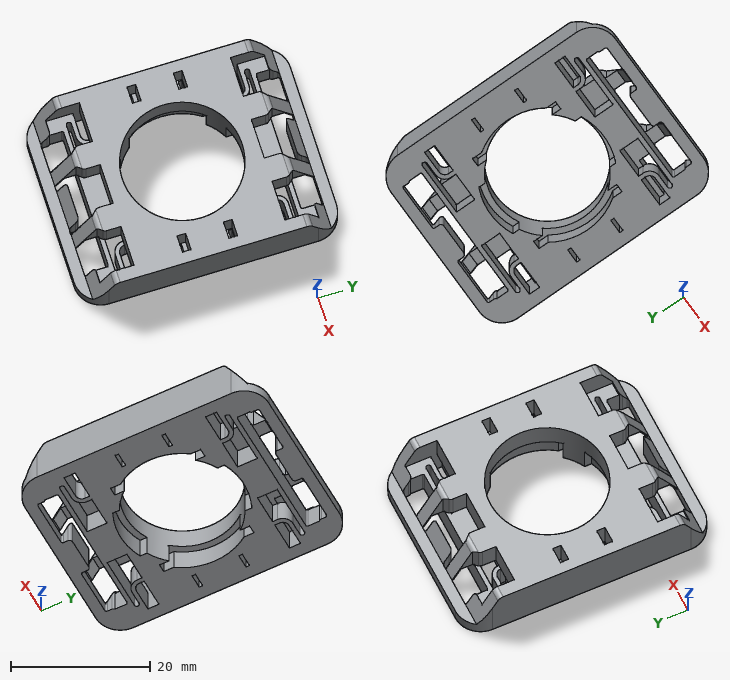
import cadquery as cq
import math

LENGTH = 39.5
WIDTH = 29.8
HEIGHT = 7.8
CORNER_RADIUS = 4.0
RAIL_HEIGHT = 1.98
RAIL_WIDTH = 1.78
SLOPE_ANGLE = math.radians(30)
CREST_RADIUS = 1.0

BORE_DIAMETER = 18.0
COUNTERBORE_DIAMETER = 20.0
COUNTERBORE_HEIGHT = 3.9
KEY_INNER_X = 4.23
KEY_OUTER_X = 6.9
NOTCH_OUTER_X = 8.2
NOTCH_END_Y = 7.3

POCKET_HALF_WIDTH = 12.95
POCKET_START_Y = 11.38
FLOOR_HEIGHT = 4.03

RIB_X = 4.95
RIB_HALF_WIDTH = 1.05
RIB_BASE_HALF_WIDTH = 1.85
RIB_SHOULDER_Y = 13.82
RIB_NECK_Y = 14.75
RIB_SHOULDER_RADIUS = 0.8
RIB_FOOT_THICKNESS = 0.25

WINDOW_HALF_WIDTH = 10.8
WINDOW_START_Y = 14.5
WINDOW_CORNER_RADIUS = 0.25
LIP_START_Y = 16.47
LIP_INNER_X = 10.6
TAB_HALF_WIDTH = 2.95
LIP_CORNER_RADIUS = 0.5
LIP_FOOT_RADIUS = 0.28

ARM_HOLE_START_Y = 10.6
ARM_HOLE_END_Y = 13.8
ARM_SLOT_WIDTH = 0.75
ARM_SLOT_END_X = 11.85
ARM_THICKNESS = 0.67
ARM_BEND_X = 9.4
ARM_BEND_RADIUS = 1.0

SLOT_X = 11.9
SLOT_LENGTH = 2.55
SLOT_START_Y = 2.85
SLOT_END_Y = 4.15
SLOT_THROUGH_LENGTH = 2.2
SLOT_THROUGH_START_Y = 3.5
SLOT_THROUGH_END_Y = 4.05

HALF_LENGTH = LENGTH / 2
RAIL_START_Y = HALF_LENGTH - RAIL_WIDTH


def block(x0, x1, y0, y1, z0, z1):
    """Box between two opposite corners."""
    return cq.Workplane("XY").box(x1 - x0, y1 - y0, z1 - z0, centered=False).translate((x0, y0, z0))


def both_x(shape):
    """The shape together with its mirror image across the YZ plane."""
    return shape.union(shape.mirror("YZ"))


def both_y(shape):
    """The shape together with its mirror image across the XZ plane."""
    return shape.union(shape.mirror("XZ"))


def slope_profile(setback):
    """Side profile, moved in along Y from the sloped end faces by the setback."""
    foot_y = RAIL_START_Y - setback
    crest_y = foot_y - (HEIGHT - RAIL_HEIGHT) * math.tan(SLOPE_ANGLE)
    return (
        cq.Workplane("YZ")
        .polyline([
            (-HALF_LENGTH, 0),
            (HALF_LENGTH, 0),
            (HALF_LENGTH, RAIL_HEIGHT),
            (foot_y, RAIL_HEIGHT),
            (crest_y, HEIGHT),
            (-crest_y, HEIGHT),
            (-foot_y, RAIL_HEIGHT),
            (-HALF_LENGTH, RAIL_HEIGHT),
        ])
        .close()
        .extrude(WIDTH / 2, both=True)
    )


def make_body():
    """Rounded plate with a low rail and a sloped face at each end."""
    plan = cq.Workplane("XY").rect(WIDTH, LENGTH).extrude(HEIGHT).edges("|Z").fillet(CORNER_RADIUS)
    wedge = slope_profile(0).edges("|X and >Z").fillet(CREST_RADIUS)
    return plan.intersect(wedge)


def make_bore():
    """Bore with a wider lower part, interrupted by four keys and their notches."""
    bore = cq.Workplane("XY").circle(BORE_DIAMETER / 2).extrude(HEIGHT)
    counterbore = cq.Workplane("XY").circle(COUNTERBORE_DIAMETER / 2).extrude(COUNTERBORE_HEIGHT)
    key = block(KEY_INNER_X, KEY_OUTER_X, 0, COUNTERBORE_DIAMETER / 2, 0, COUNTERBORE_HEIGHT)
    notch = block(KEY_OUTER_X, NOTCH_OUTER_X, 0, NOTCH_END_Y, 0, COUNTERBORE_HEIGHT)
    return counterbore.cut(both_y(both_x(key))).union(both_y(both_x(notch))).union(bore)


def make_slot():
    """Slot with a ledge at floor height and a smaller through opening below it."""
    opening_half = SLOT_LENGTH / 2
    through_half = SLOT_THROUGH_LENGTH / 2
    opening = block(
        SLOT_X - opening_half, SLOT_X + opening_half, SLOT_START_Y, SLOT_END_Y, FLOOR_HEIGHT, HEIGHT
    )
    through = block(
        SLOT_X - through_half, SLOT_X + through_half, SLOT_THROUGH_START_Y, SLOT_THROUGH_END_Y, 0, HEIGHT
    )
    return opening.union(through)


def make_rib():
    """Rib with a wide base at the pocket wall and a narrow neck over the window."""
    outline = [
        (RIB_X - RIB_BASE_HALF_WIDTH, POCKET_START_Y),
        (RIB_X - RIB_BASE_HALF_WIDTH, RIB_SHOULDER_Y),
        (RIB_X - RIB_HALF_WIDTH, RIB_NECK_Y),
        (RIB_X - RIB_HALF_WIDTH, RAIL_START_Y),
        (RIB_X + RIB_HALF_WIDTH, RAIL_START_Y),
        (RIB_X + RIB_HALF_WIDTH, RIB_NECK_Y),
        (RIB_X + RIB_BASE_HALF_WIDTH, RIB_SHOULDER_Y),
        (RIB_X + RIB_BASE_HALF_WIDTH, POCKET_START_Y),
    ]
    shoulders = cq.selectors.BoxSelector(
        (0, RIB_SHOULDER_Y - RIB_SHOULDER_RADIUS, 0), (WIDTH, RIB_SHOULDER_Y + RIB_SHOULDER_RADIUS, HEIGHT)
    )
    rib = cq.Workplane("XY").polyline(outline).close().extrude(HEIGHT)
    rib = rib.edges("|Z").edges(shoulders).fillet(RIB_SHOULDER_RADIUS)
    relief = block(0, WIDTH / 2, POCKET_START_Y, RAIL_START_Y, 0, FLOOR_HEIGHT)
    return rib.cut(relief.intersect(slope_profile(RIB_FOOT_THICKNESS)))


def make_lip_and_tab():
    """Corner lips and central tab that rise behind the rail up to the slope."""
    lip = block(LIP_INNER_X, POCKET_HALF_WIDTH, LIP_START_Y, RAIL_START_Y, 0, HEIGHT)
    lip = lip.edges("|Z and <X and <Y").fillet(LIP_CORNER_RADIUS)
    tab = block(-TAB_HALF_WIDTH, TAB_HALF_WIDTH, LIP_START_Y, RAIL_START_Y, 0, HEIGHT)
    tab = tab.edges("|Z and <Y").fillet(LIP_CORNER_RADIUS)

    def foot(x, side):
        """Concave fillet where an edge at x meets the rail, on the given side of it."""
        tip_x = x + side * LIP_FOOT_RADIUS
        start_y = RAIL_START_Y - LIP_FOOT_RADIUS
        return (
            cq.Workplane("XY")
            .moveTo(x, start_y)
            .radiusArc((tip_x, RAIL_START_Y), side * LIP_FOOT_RADIUS)
            .lineTo(x, RAIL_START_Y)
            .close()
            .extrude(HEIGHT)
        )

    half = lip.union(foot(LIP_INNER_X, -1)).union(foot(TAB_HALF_WIDTH, 1))
    return both_x(half).union(tab)


def make_arm_hole():
    """Opening in the floor of an outer pocket, leaving a bent spring arm and reaching under the rib."""
    inner_x = RIB_X - RIB_BASE_HALF_WIDTH
    arm_outer_radius = ARM_BEND_RADIUS + ARM_THICKNESS
    arm_inner_y = POCKET_START_Y + ARM_BEND_RADIUS
    arm_outer_y = POCKET_START_Y + arm_outer_radius
    slot_radius = ARM_SLOT_WIDTH / 2
    diagonal = math.sqrt(0.5)
    inside = (
        cq.Workplane("XY")
        .moveTo(POCKET_HALF_WIDTH, ARM_HOLE_START_Y)
        .lineTo(POCKET_HALF_WIDTH, arm_inner_y)
        .lineTo(ARM_BEND_X, arm_inner_y)
        .threePointArc(
            (ARM_BEND_X - ARM_BEND_RADIUS * diagonal, POCKET_START_Y + ARM_BEND_RADIUS * diagonal),
            (ARM_BEND_X - ARM_BEND_RADIUS, POCKET_START_Y),
        )
        .lineTo(ARM_BEND_X - ARM_BEND_RADIUS, ARM_HOLE_START_Y)
        .close()
        .extrude(FLOOR_HEIGHT)
    )
    outside = (
        cq.Workplane("XY")
        .moveTo(inner_x, ARM_HOLE_START_Y)
        .lineTo(ARM_BEND_X - arm_outer_radius, ARM_HOLE_START_Y)
        .lineTo(ARM_BEND_X - arm_outer_radius, POCKET_START_Y)
        .threePointArc(
            (ARM_BEND_X - arm_outer_radius * diagonal, POCKET_START_Y + arm_outer_radius * diagonal),
            (ARM_BEND_X, arm_outer_y),
        )
        .lineTo(ARM_SLOT_END_X - slot_radius, arm_outer_y)
        .threePointArc(
            (ARM_SLOT_END_X, (arm_outer_y + ARM_HOLE_END_Y) / 2),
            (ARM_SLOT_END_X - slot_radius, ARM_HOLE_END_Y),
        )
        .lineTo(inner_x, ARM_HOLE_END_Y)
        .close()
        .extrude(FLOOR_HEIGHT)
    )
    return inside.union(outside)


def make_end_cut():
    """Everything removed at the +Y end."""
    pocket = block(
        -POCKET_HALF_WIDTH, POCKET_HALF_WIDTH, POCKET_START_Y, RAIL_START_Y, FLOOR_HEIGHT, HEIGHT
    )
    window = block(-WINDOW_HALF_WIDTH, WINDOW_HALF_WIDTH, WINDOW_START_Y, RAIL_START_Y, 0, FLOOR_HEIGHT)
    window = window.edges("|Z and <Y").fillet(WINDOW_CORNER_RADIUS)
    cut = pocket.union(window).cut(both_x(make_rib())).cut(make_lip_and_tab())
    return cut.union(both_x(make_arm_hole()))


result = (
    make_body()
    .cut(make_bore())
    .cut(both_y(both_x(make_slot())))
    .cut(both_y(make_end_cut()))
)